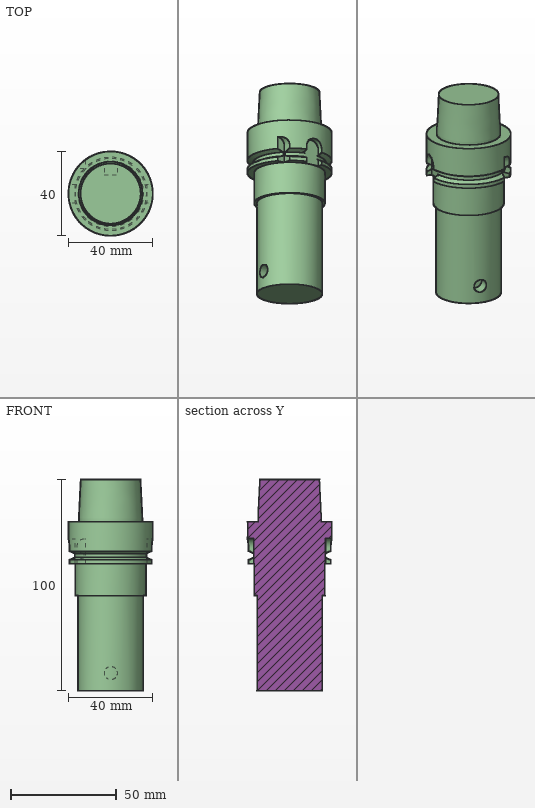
import cadquery as cq

total_height = 100.0
shank_top = 45.0
flange_bottom = 60.0
flange_top = 80.0
neck_top = 81.5

shank_diameter = 31.0
collar_diameter = 33.6
flange_diameter = 40.0
neck_diameter = 30.2
taper_top_diameter = 28.4

groove_diameter = 34.8
groove_center = 64.0
groove_floor_height = 1.8
groove_mouth_height = 4.2

notch_top = 72.0
drive_notch_radius = 4.4
drive_notch_floor = 17.0
side_notch_radius = 4.1
side_notch_floor = 12.0
side_notch_center = 16.0

screw_diameter = 6.2
screw_height = 8.5
screw_depth = 6.5


def turned_body():
    """Solid of revolution: shank, collar, grooved flange, neck and taper."""
    shank_radius = shank_diameter / 2
    collar_radius = collar_diameter / 2
    flange_radius = flange_diameter / 2
    groove_radius = groove_diameter / 2
    half_floor = groove_floor_height / 2
    half_mouth = groove_mouth_height / 2
    profile = [
        (0, 0),
        (shank_radius, 0),
        (shank_radius, shank_top),
        (collar_radius, shank_top),
        (collar_radius, flange_bottom),
        (flange_radius, flange_bottom),
        (flange_radius, groove_center - half_mouth),
        (groove_radius, groove_center - half_floor),
        (groove_radius, groove_center + half_floor),
        (flange_radius, groove_center + half_mouth),
        (flange_radius, flange_top),
        (neck_diameter / 2, flange_top),
        (neck_diameter / 2, neck_top),
        (taper_top_diameter / 2, total_height),
        (0, total_height),
    ]
    return cq.Workplane("XZ").polyline(profile).close().revolve(360, (0, 0), (0, 1))


def notch_cutter(center_y, radius, floor_distance, side):
    """Round-topped notch running outward along X from its flat floor; side is -1 or +1."""
    arch_center = notch_top - radius
    return (
        cq.Workplane("YZ", origin=(side * floor_distance, 0, 0))
        .moveTo(center_y - radius, flange_bottom)
        .lineTo(center_y - radius, arch_center)
        .threePointArc((center_y, notch_top), (center_y + radius, arch_center))
        .lineTo(center_y + radius, flange_bottom)
        .close()
        .extrude(side * flange_diameter / 2)
    )


def screw_hole_cutter():
    """Blind radial hole entering the shank from +Y."""
    return (
        cq.Workplane("XZ", origin=(0, shank_diameter / 2, screw_height))
        .circle(screw_diameter / 2)
        .extrude(screw_depth)
    )


result = turned_body()

for side in (-1, 1):
    result = result.cut(notch_cutter(0, drive_notch_radius, drive_notch_floor, side))

result = result.cut(notch_cutter(side_notch_center, side_notch_radius, side_notch_floor, -1))

result = result.cut(screw_hole_cutter())